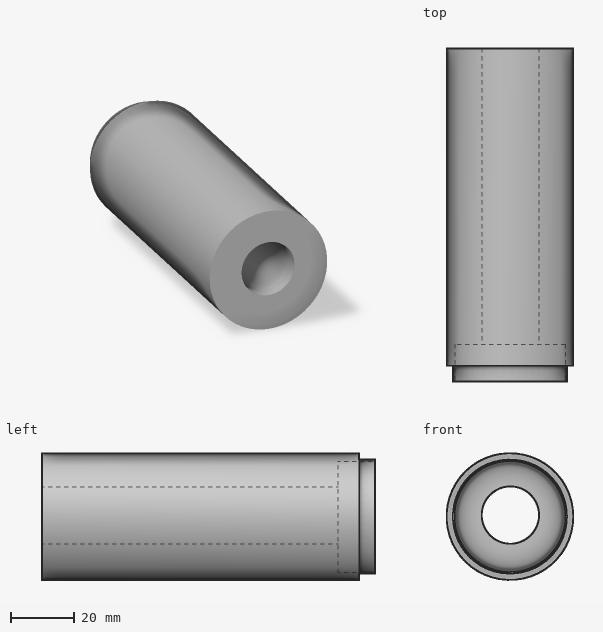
import cadquery as cq

body_diameter = 40.0
body_length = 100.0
spigot_diameter = 36.0
spigot_length = 5.0
recess_diameter = 35.0
recess_depth = 11.8
bore_diameter = 18.0

bore_x = 0.14
bore_z = 0.47

front_y = -spigot_length
total_length = body_length + spigot_length


def cylinder(diameter, start_y, length, center_x=0.0, center_z=0.0):
    """Solid cylinder parallel to Y, running from start_y toward +Y."""
    return (
        cq.Workplane("XZ", origin=(center_x, start_y, center_z))
        .circle(diameter / 2)
        .extrude(-length)
    )


body = cylinder(body_diameter, 0.0, body_length)
spigot = cylinder(spigot_diameter, front_y, spigot_length)

recess = cylinder(recess_diameter, front_y, recess_depth)
bore = cylinder(bore_diameter, front_y, total_length, bore_x, bore_z)

result = body.union(spigot).cut(recess).cut(bore)